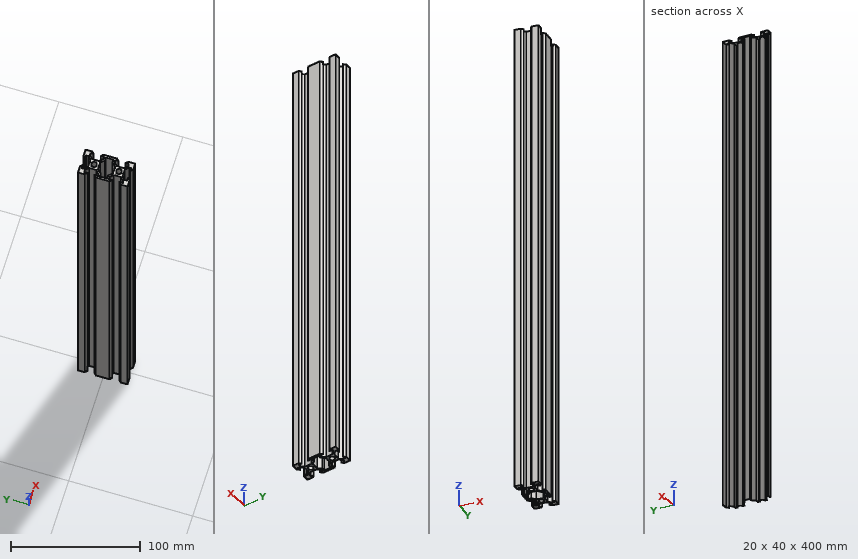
import cadquery as cq
import math

cell = 20.0
length = 400.0
lip_thickness = 1.8
mouth_width = 9.0
throat_width = mouth_width - 2 * lip_thickness
lip_overhang = 2.7
half_core = 3.9
web_thickness = 1.5
bore_diameter = 4.5
ledge_y = 3.0

half_cell = cell / 2
half_undercut = throat_width / 2 + lip_overhang
web_offset = web_thickness / math.sqrt(2)
floor_half_width = half_core - web_offset
shoulder = half_undercut + web_offset
lip_back = half_cell - lip_thickness


def extruded(points):
    return cq.Workplane("XY").polyline(points).close().extrude(length)


def mirrored_outline(half_outline):
    """Close a right-hand outline with its mirror image in X."""
    return half_outline + [(-x, y) for x, y in reversed(half_outline)]


def v_slot():
    """Slot opening toward +Y, for a cell centred on the origin."""
    return extruded(mirrored_outline([
        (floor_half_width, half_core),
        (half_undercut, shoulder),
        (half_undercut, lip_back),
        (throat_width / 2, lip_back),
        (mouth_width / 2, half_cell),
    ]))


def central_cavity():
    """Closed chamber between the two cores."""
    flat_y = half_cell - half_core
    upper_right = [
        (floor_half_width, flat_y),
        (half_undercut, ledge_y),
        (lip_back, ledge_y),
    ]
    right = upper_right + [(x, -y) for x, y in reversed(upper_right)]
    return extruded(mirrored_outline(right))


result = cq.Workplane("XY").rect(cell, 2 * cell).extrude(length)
result = result.cut(central_cavity())

for side in (1, -1):
    cell_centre = (0, side * half_cell, 0)
    end_slot_angle = 0 if side == 1 else 180
    for angle in (end_slot_angle, 90, -90):
        slot = v_slot().rotate((0, 0, 0), (0, 0, 1), angle)
        result = result.cut(slot.translate(cell_centre))
    bore = cq.Workplane("XY").circle(bore_diameter / 2).extrude(length)
    result = result.cut(bore.translate(cell_centre))